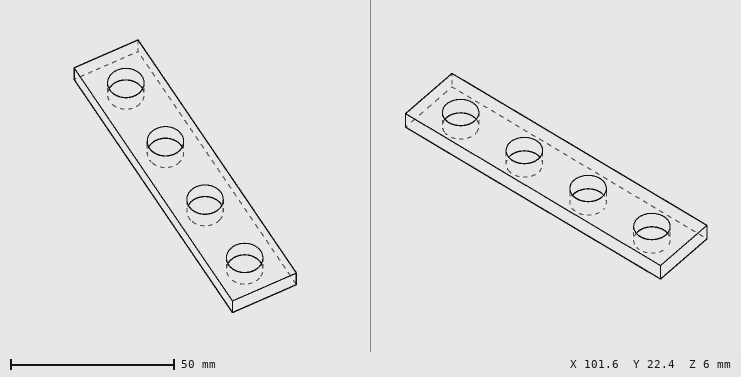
import cadquery as cq

hole_count = 4
hole_pitch = 25.4
hole_diameter = 11.176
bar_width = 2 * hole_diameter
bar_thickness = 6.0

bar_length = hole_count * hole_pitch


def make_bar():
    """Plain rectangular bar centred on the origin."""
    return cq.Workplane("XY").box(bar_length, bar_width, bar_thickness)


def drill_holes(bar):
    """Evenly spaced row of through holes along the bar's centreline."""
    return (
        bar.faces(">Z")
        .workplane()
        .rarray(hole_pitch, bar_width, hole_count, 1)
        .hole(hole_diameter)
    )


result = drill_holes(make_bar())